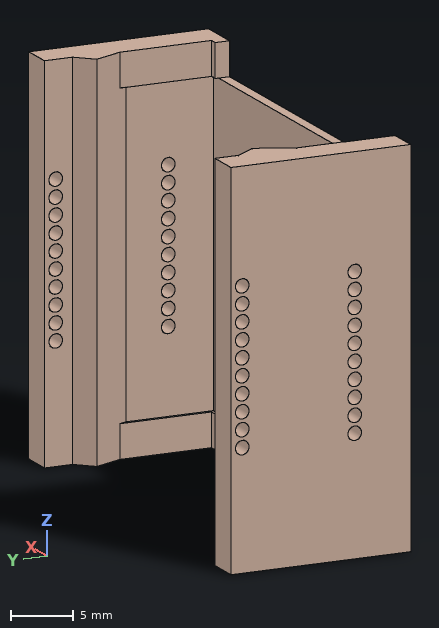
import cadquery as cq

width = 38.0
depth = 16.0
height = 34.0

wall_thickness = 3.0
plate_thickness = 1.0
end_length = 3.0

ridge_projection = 1.4
ridge_crest_y = 12.0
ridge_front_y = 8.75
left_ridge_back_y = 13.9
right_ridge_back_y = 13.5

pad_thickness = 0.3
foot_projection = 1.0
foot_depth = 1.3

hole_diameter = 1.2
hole_pitch = 1.5
holes_per_column = 10
first_hole_z = 10.5
column_positions_y = (5.0, 15.0)


def block(x_start, x_end, y_end, z_start, z_length):
    """Box that starts at the front face, y = 0."""
    size_x = x_end - x_start
    return cq.Workplane("XY").box(size_x, y_end, z_length, centered=False).translate((x_start, 0, z_start))


def ridged_wall(outer_x, inward, ridge_back_y):
    """Full-height wall; inward is +1 or -1 along X, towards the other wall."""
    inner_x = outer_x + inward * wall_thickness
    crest_x = inner_x + inward * ridge_projection
    outline = [
        (outer_x, 0),
        (inner_x, 0),
        (inner_x, ridge_front_y),
        (crest_x, ridge_crest_y),
        (inner_x, ridge_back_y),
        (inner_x, depth),
        (outer_x, depth),
    ]
    return cq.Workplane("XY").polyline(outline).close().extrude(height)


def front_plate():
    """Thin plate joining the walls, set back from both wall ends."""
    return block(wall_thickness, width - wall_thickness, plate_thickness, end_length, height - 2 * end_length)


def right_wall_end(z_start):
    """Thin pad and corner foot on the inner face at one end of the right wall."""
    inner_x = width - wall_thickness
    pad = block(inner_x - pad_thickness, inner_x, ridge_crest_y, z_start, end_length)
    foot = block(inner_x - foot_projection, inner_x, foot_depth, z_start, end_length)
    return pad.union(foot)


def pin_holes():
    """Cylinders along X, long enough to pass through both walls."""
    centres = [
        (y, first_hole_z + row * hole_pitch)
        for y in column_positions_y
        for row in range(holes_per_column)
    ]
    return cq.Workplane("YZ").pushPoints(centres).circle(hole_diameter / 2).extrude(width)


result = ridged_wall(0, 1, left_ridge_back_y)
result = result.union(ridged_wall(width, -1, right_ridge_back_y))
result = result.union(front_plate())
for end_z in (0, height - end_length):
    result = result.union(right_wall_end(end_z))
result = result.cut(pin_holes())